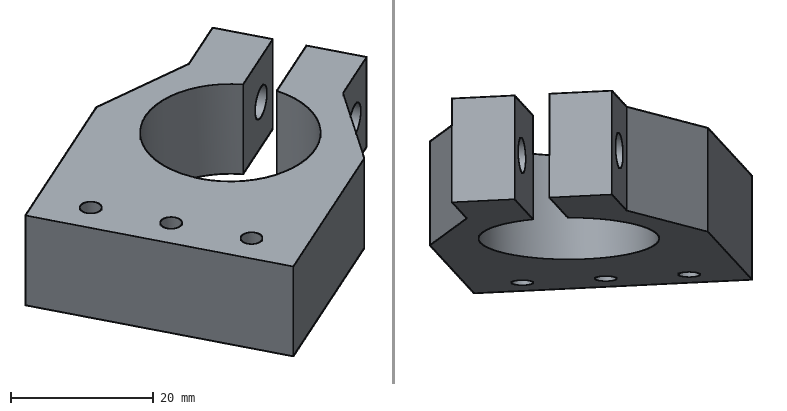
import cadquery as cq

length = 55.0
width = 40.0
thickness = 15.0
base_to_bore = 30.0
bore_diameter = 25.4

ear_length = 10.0
ears_width = 23.0
slot_width = 5.0
clamp_hole_diameter = 5.0

mount_hole_diameter = 3.1
mount_hole_spacing = 12.0
mount_hole_inset = 5.0

base_y = -base_to_bore
end_y = base_y + length
shoulder_y = end_y - ear_length


def make_body():
    """Plate with straight sides that taper from the bore axis to the ears."""
    return (
        cq.Workplane("XY")
        .moveTo(-width / 2, base_y)
        .lineTo(width / 2, base_y)
        .lineTo(width / 2, 0)
        .lineTo(ears_width / 2, shoulder_y)
        .lineTo(ears_width / 2, end_y)
        .lineTo(-ears_width / 2, end_y)
        .lineTo(-ears_width / 2, shoulder_y)
        .lineTo(-width / 2, 0)
        .close()
        .extrude(thickness)
    )


def make_bore_and_slot():
    """Round bore joined to the slot that splits the ears."""
    bore = cq.Workplane("XY").circle(bore_diameter / 2).extrude(thickness)
    slot = cq.Workplane("XY").box(slot_width, end_y, thickness, centered=(True, False, False))
    return bore.union(slot)


def make_clamp_hole():
    """Screw hole across both ears, centred on their side faces."""
    return (
        cq.Workplane("YZ")
        .center(end_y - ear_length / 2, thickness / 2)
        .circle(clamp_hole_diameter / 2)
        .extrude(ears_width / 2, both=True)
    )


def make_mount_holes():
    """Three through holes along the mounting edge."""
    return (
        cq.Workplane("XY")
        .center(0, base_y + mount_hole_inset)
        .rarray(mount_hole_spacing, 0.55, 3, 1)
        .circle(mount_hole_diameter / 2)
        .extrude(thickness)
    )


result = make_body().cut(make_bore_and_slot()).cut(make_clamp_hole()).cut(make_mount_holes())